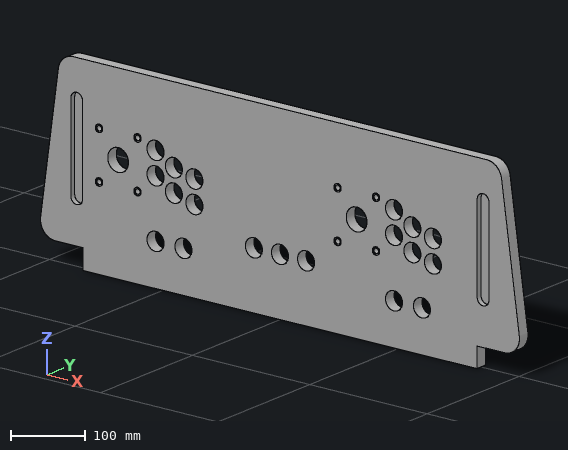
import cadquery as cq
import math

overall_width = 816.5
overall_height = 299.47
thickness = 19.05
tab_width = 671.5
tab_height = 32.25
side_angle = 7.95
corner_radius = 25.4

slot_offset = 346.2
slot_width = 20.0
slot_length = 158.75
slot_center_z = 21
slot_depth = 8.5

group_pitch = 406.4
left_group_x = -275.8
joystick_z = 19.2
joystick_diameter = 35.0
screw_spacing_x = 65.5
screw_spacing_z = 75.9
screw_recess_diameter = 11.8
screw_recess_depth = 1
screw_hole_diameter = 7.8
screw_hole_depth = 12.7

button_diameter = 28.575
button_pitch_z = 36.0
first_column_x = 63.7
second_column_x = 95
third_column_x = 130.0
first_column_z = 26.8
second_column_z = 8.8
third_column_z = 0.0
second_lower_button_x = 111.3
lower_button_z = -102.0
column_tops = [
    (first_column_x, first_column_z),
    (second_column_x, second_column_z),
    (third_column_x, third_column_z),
]
lower_buttons = [(first_column_x, lower_button_z), (second_lower_button_x, lower_button_z)]
center_button_pitch = 44.45
center_button_z = -57.2

half_thickness = thickness / 2
front_y = -half_thickness
group_centers = [left_group_x, left_group_x + group_pitch]
joystick_points = [(group_x, joystick_z) for group_x in group_centers]


def plate():
    """Flat plate with leaning sides, rounded corners and a bottom tab."""
    top_z = overall_height / 2
    bottom_z = -top_z
    shoulder_z = bottom_z + tab_height
    lean = math.radians(side_angle)
    arc_center_x = overall_width / 2 - corner_radius
    shoulder_x = arc_center_x + corner_radius * (1 + math.sin(lean)) / math.cos(lean)
    top_x = shoulder_x - (top_z - shoulder_z) * math.tan(lean)
    corners = [
        (-shoulder_x, shoulder_z),
        (shoulder_x, shoulder_z),
        (top_x, top_z),
        (-top_x, top_z),
    ]
    upper = (
        cq.Workplane("XZ")
        .polyline(corners)
        .close()
        .extrude(half_thickness, both=True)
        .edges("|Y")
        .fillet(corner_radius)
    )
    tab = (
        cq.Workplane("XY")
        .box(tab_width, thickness, 2 * tab_height)
        .translate((0, 0, shoulder_z))
    )
    return upper.union(tab)


def front_holes(points, diameter, depth):
    """Round cutters at (X, Z) points, running from the front face to a depth."""
    return (
        cq.Workplane("XZ", origin=(0, front_y, 0))
        .pushPoints(points)
        .circle(diameter / 2)
        .extrude(-depth)
    )


def button_points():
    """(X, Z) centres of every button."""
    points = [(step * center_button_pitch, center_button_z) for step in (-1, 0, 1)]
    for group_x in group_centers:
        for dx, dz in column_tops:
            points.append((group_x + dx, joystick_z + dz))
            points.append((group_x + dx, joystick_z + dz - button_pitch_z))
        for dx, dz in lower_buttons:
            points.append((group_x + dx, joystick_z + dz))
    return points


def screw_points():
    """(X, Z) centres of the four screws around each joystick."""
    return [
        (group_x + side * screw_spacing_x / 2, joystick_z + level * screw_spacing_z / 2)
        for group_x in group_centers
        for side in (-1, 1)
        for level in (-1, 1)
    ]


def slots():
    """Cutters for the two upright round-ended blind slots."""
    return (
        cq.Workplane("XZ", origin=(0, front_y, 0))
        .pushPoints([(-slot_offset, slot_center_z), (slot_offset, slot_center_z)])
        .slot2D(slot_length, slot_width, 90)
        .extrude(-slot_depth)
    )


result = (
    plate()
    .cut(slots())
    .cut(front_holes(joystick_points, joystick_diameter, thickness))
    .cut(front_holes(button_points(), button_diameter, thickness))
    .cut(front_holes(screw_points(), screw_recess_diameter, screw_recess_depth))
    .cut(front_holes(screw_points(), screw_hole_diameter, screw_hole_depth))
)